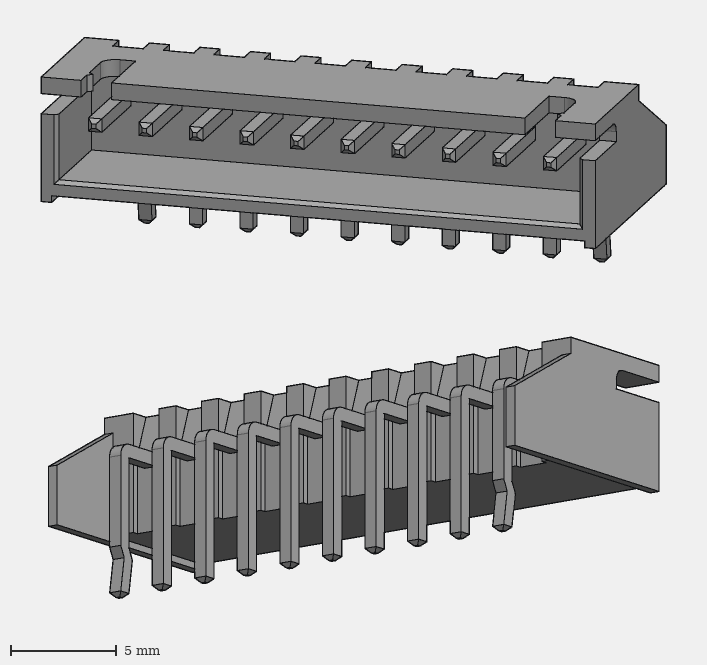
import cadquery as cq
import math

width = 27.4
housing_depth = 7.05
top_z = 6.15
floor_bottom_z = 0.33

side_wall = 0.82
top_wall = 0.82
floor_top_z = 1.1
cavity_depth = 5.48
lead_in = 0.2
ceiling_z = top_z - top_wall

ear_thickness = 0.52
ear_length = 11.5
ear_rear_z = 2.9
ear_root_z = 5.35

window_depth = 3.4
window_height = 1.0
window_radius = 0.5

slot_outer_offset = 1.97
slot_width = 1.5
slot_depth = 3.9
slot_radius = 0.75
rib_y = 1.15
rib_half_base = 0.22
rib_height = 0.25

pin_count = 10
pin_span = 22.5
pitch = pin_span / (pin_count - 1)
pin_size = 0.65
pin_z = 3.78
pin_front_y = 0.5
pin_rear_y = 9.5
pin_bottom_z = -3.37
tip_length = 0.22
tip_taper = 45
kink_start_z = -0.93
kink_peak_z = -1.48
kink_shift = 0.27

notch_width = 1.5
notch_depth = 1.01
notch_open_depth = 0.33

pin_xs = [i * pitch - pin_span / 2 for i in range(pin_count)]


def box(x0, x1, y0, y1, z0, z1):
    """Axis-aligned block between two opposite corners."""
    return cq.Workplane("XY").box(x1 - x0, y1 - y0, z1 - z0, centered=False).translate((x0, y0, z0))


def side_profile(points, x0, thickness):
    """Closed outline of (Y, Z) points, extruded along +X from x0."""
    return cq.Workplane("YZ").polyline(points).close().extrude(thickness).translate((x0, 0, 0))


def make_shell():
    """Housing block and full-length side ears, hollowed by the mating cavity."""
    half = width / 2
    shell = box(-half, half, 0, housing_depth, floor_bottom_z, top_z)
    ear_points = [
        (0, 0),
        (ear_length, 0),
        (ear_length, ear_rear_z),
        (housing_depth, ear_root_z),
        (0, ear_root_z),
    ]
    for ear_x in (-half, half - ear_thickness):
        shell = shell.union(side_profile(ear_points, ear_x, ear_thickness))
    inner = half - side_wall
    return shell.cut(box(-inner, inner, 0, cavity_depth, floor_top_z, ceiling_z))


def make_lead_in():
    """Tapered mouth that widens the cavity at its floor and sides."""
    inner_width = width - 2 * side_wall
    inner_height = ceiling_z - floor_top_z
    outer_height = inner_height + lead_in
    return (
        cq.Workplane("XZ")
        .center(0, ceiling_z - outer_height / 2)
        .rect(inner_width + 2 * lead_in, outer_height)
        .workplane(offset=-lead_in)
        .center(0, lead_in / 2)
        .rect(inner_width, inner_height)
        .loft(ruled=True)
    )


def make_window():
    """Open-ended cutter through both side walls, rounded at its upper inner corner."""
    window = box(-width / 2, width / 2, 0, window_depth, ceiling_z - window_height, ceiling_z)
    return window.edges(">Y and >Z").fillet(window_radius)


def make_slot():
    """Cutter for the left latch slot, leaving a small V rib on its outer wall."""
    outer_x = slot_outer_offset - width / 2
    slot = box(outer_x, outer_x + slot_width, 0, slot_depth, ceiling_z, top_z)
    slot = slot.edges("|Z and <X and >Y").fillet(slot_radius)
    rib = (
        cq.Workplane("XY", origin=(outer_x, rib_y, ceiling_z))
        .moveTo(0, -rib_half_base)
        .lineTo(rib_height, 0)
        .lineTo(0, rib_half_base)
        .close()
        .extrude(top_wall)
    )
    return slot.cut(rib)


def make_notch(x):
    """Rear notch cutter: sloped down to the pin, then open to the underside."""
    open_y = housing_depth - notch_open_depth
    points = [
        (housing_depth - notch_depth, top_z),
        (housing_depth, top_z),
        (housing_depth, floor_bottom_z),
        (open_y, floor_bottom_z),
        (open_y, pin_z + pin_size / 2),
    ]
    return side_profile(points, x - notch_width / 2, notch_width)


def make_tip(plane, origin):
    """Tapered pin end growing along the normal of the given plane."""
    return cq.Workplane(plane, origin=origin).rect(pin_size, pin_size).extrude(tip_length, taper=tip_taper)


def make_pin(x, kinked):
    """Right-angle pin with a rounded bend; a kinked leg bows toward the front."""
    half = pin_size / 2
    front_y = pin_front_y + tip_length
    leg_front_y = pin_rear_y - pin_size
    leg_end_z = pin_bottom_z + tip_length
    front_bends = []
    rear_bends = []
    if kinked:
        front_bends = [(leg_front_y, kink_start_z), (leg_front_y - kink_shift, kink_peak_z)]
        rear_bends = [(pin_rear_y - kink_shift, kink_peak_z), (pin_rear_y, kink_start_z)]
    profile = cq.Workplane("YZ").moveTo(front_y, pin_z + half).lineTo(front_y, pin_z - half)
    leg_points = [
        (leg_front_y, pin_z - half),
        *front_bends,
        (leg_front_y, leg_end_z),
        (pin_rear_y, leg_end_z),
        *rear_bends,
        (pin_rear_y, pin_z - half),
    ]
    for leg_point in leg_points:
        profile = profile.lineTo(*leg_point)
    bend_middle = (leg_front_y + pin_size * math.sqrt(0.5), pin_z - half + pin_size * math.sqrt(0.5))
    profile = profile.threePointArc(bend_middle, (leg_front_y, pin_z + half)).close()
    pin = profile.extrude(pin_size).translate((x - half, 0, 0))
    pin = pin.union(make_tip("XZ", (x, front_y, pin_z)))
    return pin.union(make_tip("YX", (x, pin_rear_y - half, leg_end_z)))


housing = make_shell().cut(make_lead_in()).cut(make_window())
left_slot = make_slot()
housing = housing.cut(left_slot).cut(left_slot.mirror("YZ"))
for pin_x in pin_xs:
    housing = housing.cut(make_notch(pin_x))

result = housing
for index, pin_x in enumerate(pin_xs):
    result = result.union(make_pin(pin_x, kinked=index in (0, pin_count - 1)))